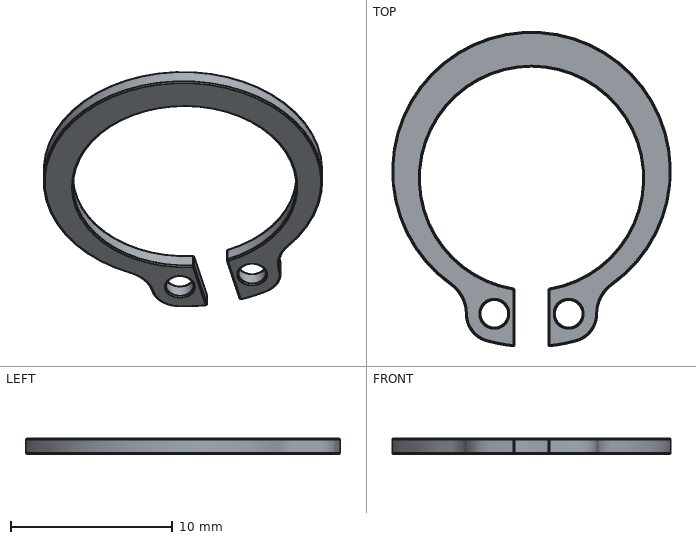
import cadquery as cq
import math

thickness = 1.0
bore_radius = 6.9
rim_radius = 8.63
rim_offset = 0.45
half_gap = 1.03
lug_tip_radius = 10.47
hole_diameter = 1.7
hole_x = -2.3
lug_radius = 1.77
neck_radius = 2.22
edge_chamfer = 0.088

hole_y = -math.sqrt((lug_tip_radius - lug_radius) ** 2 - hole_x**2)


def polar(center, radius, angle):
    return (center[0] + radius * math.cos(angle), center[1] + radius * math.sin(angle))


def direction(start, end):
    return math.atan2(end[1] - start[1], end[0] - start[0])


def neck_center(rim_center, hole_center):
    """Centre of the blend circle touching the rim and the lug corner from outside."""
    span = math.dist(rim_center, hole_center)
    to_rim = rim_radius + neck_radius
    to_lug = lug_radius + neck_radius
    turn = math.acos((to_rim**2 + span**2 - to_lug**2) / (2 * to_rim * span))
    return polar(rim_center, to_rim, direction(rim_center, hole_center) - turn)


def midway(center, radius, start, end):
    """Point halfway along the shorter arc from start to end."""
    chord_middle = ((start[0] + end[0]) / 2, (start[1] + end[1]) / 2)
    return polar(center, radius, direction(center, chord_middle))


def mirrored(point):
    return (-point[0], point[1])


origin = (0, 0)
rim_center = (0, rim_offset)
hole_center = (hole_x, hole_y)

neck = neck_center(rim_center, hole_center)
rim_end = polar(rim_center, rim_radius, direction(rim_center, neck))
lug_start = polar(hole_center, lug_radius, direction(hole_center, neck))
lug_end = polar(origin, lug_tip_radius, direction(origin, hole_center))
tip_end = (-half_gap, -math.sqrt(lug_tip_radius**2 - half_gap**2))
bore_end = (-half_gap, -math.sqrt(bore_radius**2 - half_gap**2))

neck_middle = midway(neck, neck_radius, rim_end, lug_start)
lug_middle = midway(hole_center, lug_radius, lug_start, lug_end)
tip_middle = midway(origin, lug_tip_radius, lug_end, tip_end)

ring = (
    cq.Workplane("XY")
    .moveTo(*bore_end)
    .lineTo(*tip_end)
    .threePointArc(tip_middle, lug_end)
    .threePointArc(lug_middle, lug_start)
    .threePointArc(neck_middle, rim_end)
    .threePointArc((0, rim_offset + rim_radius), mirrored(rim_end))
    .threePointArc(mirrored(neck_middle), mirrored(lug_start))
    .threePointArc(mirrored(lug_middle), mirrored(lug_end))
    .threePointArc(mirrored(tip_middle), mirrored(tip_end))
    .lineTo(*mirrored(bore_end))
    .threePointArc((0, bore_radius), bore_end)
    .close()
    .extrude(thickness)
)

ring = ring.faces("|X").edges("|Z").chamfer(edge_chamfer)

holes = (
    cq.Workplane("XY")
    .pushPoints([hole_center, mirrored(hole_center)])
    .circle(hole_diameter / 2)
    .extrude(thickness)
)
ring = ring.cut(holes)

result = ring.faces("|Z").edges().chamfer(edge_chamfer)